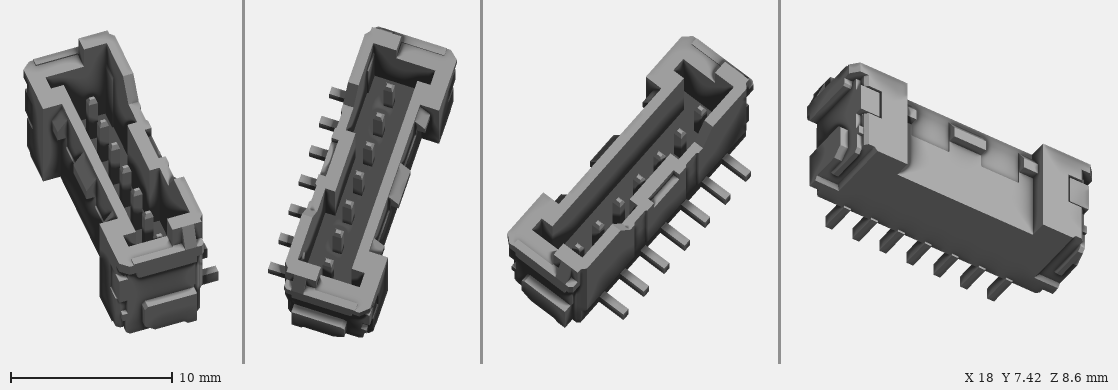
import cadquery as cq


half_width = 9.0
total_depth = 7.42
total_height = 8.6
base_z = 0.16
rim_z = 6.98
back_y = 5.5
rib_back_y = 5.78
rib_base_z = 2.0
back_chamfer_x = 0.18
back_chamfer_y = 0.22

wall_x = 8.45
clip_seat_x = 8.1
clip_back_y = 4.99
flange_z = 6.23
flange_skirt_z = 5.69
flange_skirt_y = 1.05
flange_skirt_chamfer = 0.15
flange_corner_x = 0.49
flange_corner_y = 0.54
lip_z = 7.1
lip_front_y = 0.81
lip_width = 0.5
tower_corner_x = 0.22
tower_corner_y = 0.23
back_corner_x = 8.26

cavity_x = 7.42
cavity_front_y = 1.05
cavity_back_y = 5.1
cavity_floor_z = rib_base_z
front_wall_x = 6.45
front_wall_inner_y = 1.89
front_wall_outer_y = 1.13
tower_inner_x = 5.02
key_x = 2.0
key_y = 4.45
pad_x = 6.21
pad_thickness = 0.09
pad_top_z = 6.66
pad_bevel_height = 0.25

ramp_y = 0.58
ramp_top_z = 6.6
ramp_edge_z = 5.67
ramp_base_z = 4.91
side_ramp_x = 4.0
middle_ramp_x = 1.17
window_y = 1.25
window_base_z = 4.0
window_corner = 0.1

back_plate_x = 8.1
back_plate_chamfer = 0.29
dip_x = (1.87, 3.13)
dip_depth = 0.1
dip_slope = 0.13
notch_x = 1.25
notch_y = 5.31
notch_z = 6.23

horn_front_y = 3.58
horn_x = 8.39
horn_inner_top_x = 4.52
horn_inner_base_x = 3.55
gusset_y = (4.21, 5.0)

boss_front_y = 1.53
boss_top_z = 2.7
boss_top_chamfer = 0.22
boss_slope_y = 0.68
boss_slope_z = 0.55
pocket_z = 0.41
pocket_x = 7.45
pocket_back_y = 4.15
pocket_slope = 0.22

clip_top_z = 6.12
clip_front_y = 0.61
clip_tail_y = 5.1
clip_tail_z = (2.95, 5.38)
clip_nib_y = 0.27
clip_nib_z = (1.35, 1.95)
clip_toe_y = 0.49
clip_toe_z = 0.27
clip_foot_y = (0.74, 3.15)
clip_foot_back_y = 3.44
tab_x = 7.05
tab_front_y = 0.05
tab_z = (3.19, 5.18)
tab_recess_y = 0.43
tab_recess_clearance = 0.15

pin_count = 7
pin_pitch = 2.0
pin_width = 0.5
pin_depth = 0.6
pin_y = 3.58
pin_top_z = 5.55
pin_tip_height = 0.3
pin_tip_width = 0.2
pin_tip_depth = 0.32
tail_front_y = 5.31
tail_height = 0.86


def box(x0, x1, y0, y1, z0, z1):
    size = (x1 - x0, y1 - y0, z1 - z0)
    return cq.Workplane("XY").box(*size, centered=False).translate((x0, y0, z0))


def plan_prism(points, z0, z1):
    """Outline in (x, y), raised from z0 to z1."""
    return cq.Workplane("XY", origin=(0, 0, z0)).polyline(points).close().extrude(z1 - z0)


def front_prism(points, y0, y1):
    """Outline in (x, z), running from y0 to y1."""
    return cq.Workplane("XZ", origin=(0, y0, 0)).polyline(points).close().extrude(y0 - y1)


def side_prism(points, x0, x1):
    """Outline in (y, z), running from x0 to x1."""
    return cq.Workplane("YZ", origin=(x0, 0, 0)).polyline(points).close().extrude(x1 - x0)


def both_sides(left):
    return left.union(left.mirror("YZ"))


def half_body():
    """Left half of the housing block up to the rim, solid inside."""
    seat = clip_seat_x
    outline = [
        (0, 0),
        (tower_corner_x - seat, 0),
        (-seat, tower_corner_y),
        (-seat, clip_back_y),
        (-back_corner_x, clip_back_y),
        (-back_corner_x, back_y - back_chamfer_y),
        (back_chamfer_x - back_corner_x, back_y),
        (0, back_y),
    ]
    return plan_prism(outline, base_z, rim_z)


def flange():
    """Collar around the left end of the rim, with its skirt and raised lip."""
    outline = [
        (0, 0),
        (flange_corner_x - half_width, 0),
        (-half_width, flange_corner_y),
        (-half_width, back_y - back_chamfer_y),
        (back_chamfer_x - half_width, back_y),
        (0, back_y),
    ]
    collar = plan_prism(outline, flange_z, rim_z)
    skirt_profile = [
        (flange_skirt_y, flange_z),
        (flange_skirt_y, flange_skirt_z + flange_skirt_chamfer),
        (flange_skirt_y + flange_skirt_chamfer, flange_skirt_z),
        (clip_back_y, flange_skirt_z),
        (clip_back_y, flange_z),
    ]
    skirt = side_prism(skirt_profile, -half_width, -clip_seat_x)
    lip_limits = box(-half_width, lip_width - half_width, lip_front_y, back_y, rim_z, lip_z)
    lip_limits = lip_limits.union(box(-half_width, -horn_x, horn_front_y, back_y, rim_z, lip_z))
    lip = plan_prism(outline, rim_z, lip_z).intersect(lip_limits)
    return collar.union(skirt).union(lip)


def back_plate():
    """Left half of the thicker back wall, with a shallow dip."""
    dip_y = rib_back_y - dip_depth
    outline = [
        (0, cavity_back_y),
        (-back_plate_x, cavity_back_y),
        (-back_plate_x, back_y),
        (back_plate_chamfer - back_plate_x, rib_back_y),
        (-dip_x[1], rib_back_y),
        (dip_slope - dip_x[1], dip_y),
        (-dip_x[0] - dip_slope, dip_y),
        (-dip_x[0], rib_back_y),
        (0, rib_back_y),
    ]
    return plan_prism(outline, rib_base_z, rim_z)


def horn():
    """Raised left corner of the back wall, with its sloping outer gusset."""
    outline = [
        (-horn_x, horn_front_y),
        (-horn_x, back_y),
        (-back_plate_x, back_y),
        (back_plate_chamfer - back_plate_x, rib_back_y),
        (-horn_inner_base_x, rib_back_y),
        (-horn_inner_base_x, horn_front_y),
    ]
    slope = [
        (-horn_x, rim_z),
        (-horn_x, total_height),
        (-horn_inner_top_x, total_height),
        (-horn_inner_base_x, rim_z),
    ]
    post = plan_prism(outline, rim_z, total_height)
    post = post.intersect(front_prism(slope, horn_front_y, rib_back_y))
    gusset = [
        (-horn_x, rim_z),
        (-half_width, rim_z),
        (-half_width, lip_z),
        (-horn_x, total_height),
    ]
    return post.union(front_prism(gusset, *gusset_y))


def boss():
    """Block on the lower left side wall."""
    profile = [
        (clip_back_y, base_z),
        (clip_back_y, boss_top_z),
        (boss_front_y + boss_top_chamfer, boss_top_z),
        (boss_front_y, boss_top_z - boss_top_chamfer),
        (boss_front_y, pocket_z + boss_slope_z),
        (boss_front_y + boss_slope_y, pocket_z),
        (pocket_back_y, pocket_z),
        (pocket_back_y, base_z),
    ]
    return side_prism(profile, -half_width, -clip_seat_x)


def bottom_pocket():
    """Shallow clearance under the left end, with sloping inner and back walls."""
    across = [
        (-half_width, base_z),
        (-half_width, pocket_z),
        (-pocket_x, pocket_z),
        (pocket_slope - pocket_x, base_z),
    ]
    along = [
        (0, base_z),
        (0, pocket_z),
        (pocket_back_y, pocket_z),
        (pocket_back_y + pocket_slope, base_z),
    ]
    clearance = front_prism(across, 0, pocket_back_y + pocket_slope)
    return clearance.intersect(side_prism(along, -half_width, pocket_slope - pocket_x))


def clip():
    """Left solder clip: side plate with a foot, and a tab folded onto the front."""
    profile = [
        (clip_back_y, clip_top_z),
        (clip_front_y, clip_top_z),
        (clip_front_y, tab_z[1]),
        (tab_front_y, tab_z[1]),
        (tab_front_y, tab_z[0]),
        (clip_front_y, tab_z[0]),
        (clip_front_y, clip_nib_z[1]),
        (clip_nib_y, clip_nib_z[1]),
        (clip_nib_y, clip_nib_z[0]),
        (clip_toe_y, clip_nib_z[0]),
        (clip_toe_y, clip_toe_z),
        (clip_foot_y[0], 0),
        (clip_foot_y[1], 0),
        (clip_foot_back_y, pocket_z),
        (clip_back_y, pocket_z),
    ]
    plate = side_prism(profile, -wall_x, -clip_seat_x)
    tail = box(-wall_x, -clip_seat_x, clip_back_y, clip_tail_y, *clip_tail_z)
    tab = box(-wall_x, -tab_x, tab_front_y, tab_recess_y, *tab_z)
    return plate.union(tail).union(tab)


def tab_recess():
    gap = tab_recess_clearance
    return box(-half_width, gap - tab_x, 0, tab_recess_y, tab_z[0] - gap, tab_z[1] + gap)


def cavity():
    """Mating cavity, open at the top, narrowed by the front wall and the back key."""
    room = box(-cavity_x, cavity_x, cavity_front_y, cavity_back_y, cavity_floor_z, total_height)
    wall = box(
        -front_wall_x, front_wall_x, cavity_front_y, front_wall_inner_y, cavity_floor_z, total_height
    )
    key = box(-key_x, key_x, key_y, cavity_back_y, cavity_floor_z, total_height)
    return room.cut(wall).cut(key)


def corner_pad():
    """Thin pad in the left back corner of the cavity, beveled at the top."""
    profile = [
        (cavity_back_y, cavity_floor_z),
        (cavity_back_y - pad_thickness, cavity_floor_z),
        (cavity_back_y - pad_thickness, pad_top_z - pad_bevel_height),
        (cavity_back_y, pad_top_z),
    ]
    return side_prism(profile, -cavity_x, -pad_x)


def front_window():
    """Shallow window in the front wall, rounded at its lower corners."""
    window = box(
        -side_ramp_x, -middle_ramp_x, front_wall_outer_y, window_y, window_base_z, rim_z
    )
    return window.edges("|Y and <Z").fillet(window_corner)


def ramp(x0, x1):
    """Latching ramp standing on the front wall."""
    profile = [
        (window_y, ramp_top_z),
        (ramp_y, ramp_edge_z),
        (ramp_y, ramp_base_z),
        (window_y, ramp_base_z),
    ]
    return side_prism(profile, x0, x1)


def pin(x):
    """Rectangular contact post with a tapered tip, and its solder tail."""
    shoulder_z = pin_top_z - pin_tip_height
    post = box(
        x - pin_width / 2,
        x + pin_width / 2,
        pin_y - pin_depth / 2,
        pin_y + pin_depth / 2,
        cavity_floor_z,
        shoulder_z,
    )
    tip = (
        cq.Workplane("XY", origin=(x, pin_y, shoulder_z))
        .rect(pin_width, pin_depth)
        .workplane(offset=pin_tip_height)
        .rect(pin_tip_width, pin_tip_depth)
        .loft(ruled=True)
    )
    tail = box(x - pin_width / 2, x + pin_width / 2, tail_front_y, total_depth, 0, tail_height)
    return post.union(tip).union(tail)


left_half = half_body().union(flange()).union(back_plate()).union(horn()).union(boss())
left_half = left_half.cut(bottom_pocket()).cut(tab_recess()).union(clip())
housing = both_sides(left_half).cut(cavity())
housing = housing.cut(box(-notch_x, notch_x, notch_y, rib_back_y, notch_z, rim_z))

housing = housing.cut(
    box(-tower_inner_x, tower_inner_x, 0, front_wall_outer_y, base_z, rim_z)
)
housing = housing.cut(
    box(-tower_inner_x, tower_inner_x, front_wall_outer_y, window_y, ramp_edge_z, rim_z)
)
housing = housing.cut(both_sides(front_window()))
housing = housing.union(both_sides(ramp(-tower_inner_x, -side_ramp_x)))
housing = housing.union(ramp(-middle_ramp_x, middle_ramp_x))
housing = housing.union(both_sides(corner_pad()))

for index in range(pin_count):
    housing = housing.union(pin((index - (pin_count - 1) / 2) * pin_pitch))

result = housing